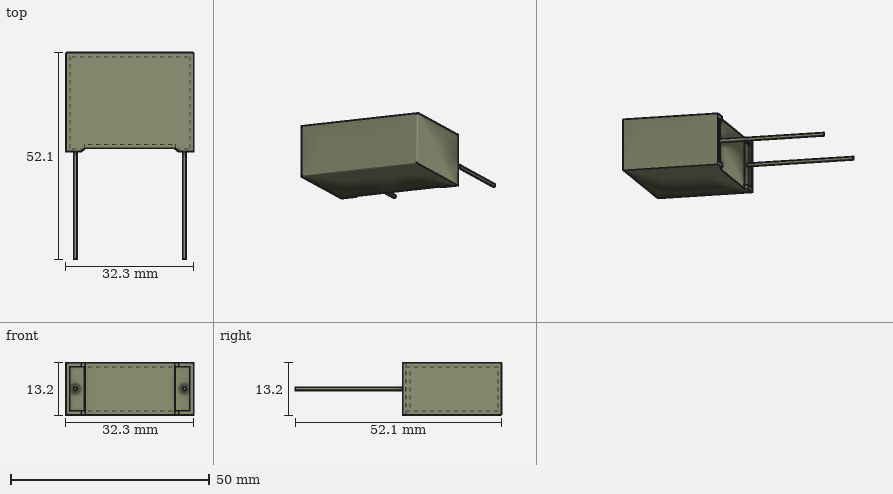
import cadquery as cq

width = 32.3
height = 13.25
total_length = 52.1
case_length = 25.0

wall = 1.05
back_fillet = 0.4
foot_width = 3.85
step_run = 1.05
step_depth = 0.85
window_width = 3.65
window_height = height - 2 * wall
pocket_depth = 0.7

lead_diameter = 0.9
lead_spacing = 27.5

lead_length = total_length - case_length
panel_back = step_depth + wall
cavity_length = case_length - wall - panel_back
window_center = width / 2 - wall - window_width / 2
sides = (-1, 1)


def box_from(x_center, x_size, y_start, y_size, z_size):
    """Box centred on z = 0 that starts at y_start and extends toward +Y."""
    box = cq.Workplane("XY").box(x_size, y_size, z_size, centered=(True, False, True))
    return box.translate((x_center, y_start, 0))


def make_cavity():
    """Closed space inside the case, behind the front panel."""
    return box_from(0, width - 2 * wall, panel_back, cavity_length, window_height)


def make_case():
    """Hollow case with two feet and a window through each foot."""
    foot_edge = width / 2 - foot_width
    panel_edge = foot_edge - step_run
    case = (
        cq.Workplane("XY")
        .workplane(offset=-height / 2)
        .moveTo(-width / 2, 0)
        .lineTo(-foot_edge, 0)
        .lineTo(-panel_edge, step_depth)
        .lineTo(panel_edge, step_depth)
        .lineTo(foot_edge, 0)
        .lineTo(width / 2, 0)
        .lineTo(width / 2, case_length)
        .lineTo(-width / 2, case_length)
        .close()
        .extrude(height)
    )
    case = case.faces(">Y").edges().fillet(back_fillet)
    case = case.cut(make_cavity())
    for side in sides:
        case = case.cut(box_from(side * window_center, window_width, 0, panel_back, window_height))
    return case


def make_filling():
    """Potting that fills the cavity and rises into both windows, short of the foot faces."""
    filling = make_cavity()
    plug_length = panel_back - pocket_depth
    for side in sides:
        plug = box_from(side * window_center, window_width, pocket_depth, plug_length, window_height)
        filling = filling.union(plug)
    return filling


def make_lead(side):
    """Straight round wire that starts on the potting surface."""
    lead = cq.Workplane("XZ").circle(lead_diameter / 2).extrude(lead_length + pocket_depth)
    return lead.translate((side * lead_spacing / 2, pocket_depth, 0))


case = make_case()
filling = make_filling()
leads = [make_lead(side) for side in sides]

result = cq.Compound.makeCompound([case.val(), filling.val(), *[lead.val() for lead in leads]])